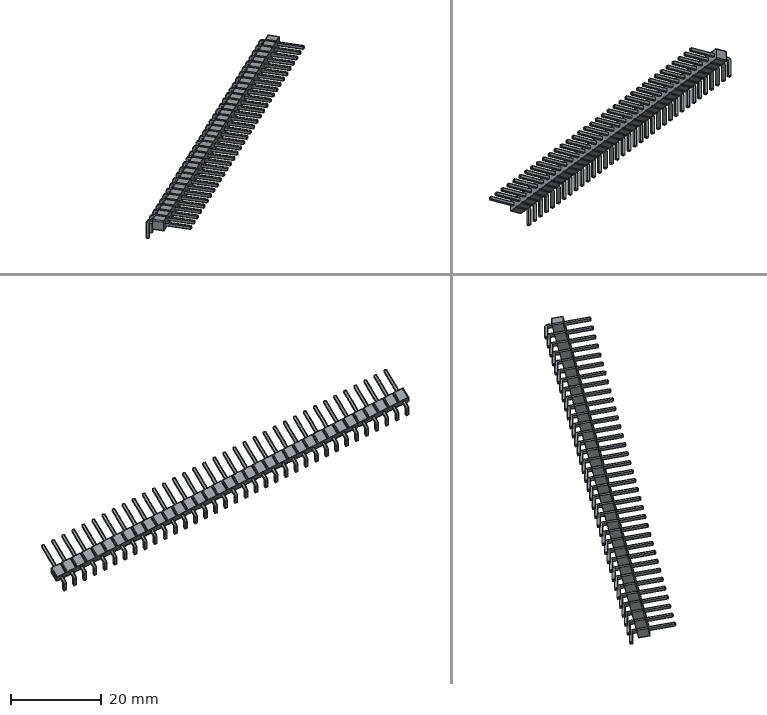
import cadquery as cq

pin_count = 35
row_length = 88.9
pitch = row_length / pin_count

overall_width = 10.4
overall_height = 5.5

housing_width = pitch
housing_height = pitch
housing_chamfer = 0.25

pin_thickness = 0.64
pin_tip_chamfer = 0.2
bend_outer_radius = 0.7
tail_reach = 1.8

tail_outer_x = -housing_width / 2 - tail_reach
contact_end_x = tail_outer_x + overall_width
tail_end_z = housing_height / 2 - overall_height


def make_housing_block():
    """The housing block at Y = 0, chamfered along its four X edges."""
    block = cq.Workplane("XY").box(housing_width, pitch, housing_height)
    return block.edges("|X").chamfer(housing_chamfer)


def make_pin():
    """The bent pin at Y = 0: a tail going down, a rounded bend and a straight contact."""
    half = pin_thickness / 2
    tail_inner_x = tail_outer_x + pin_thickness
    pin = (
        cq.Workplane("XZ")
        .moveTo(tail_outer_x, tail_end_z)
        .lineTo(tail_outer_x, half - bend_outer_radius)
        .radiusArc((tail_outer_x + bend_outer_radius, half), bend_outer_radius)
        .lineTo(contact_end_x, half)
        .lineTo(contact_end_x, -half)
        .lineTo(tail_inner_x, -half)
        .lineTo(tail_inner_x, tail_end_z)
        .close()
        .extrude(half, both=True)
    )
    return pin.faces(">X or <Z").chamfer(pin_tip_chamfer)


housing_block = make_housing_block()
pin = make_pin()
pieces = []
for index in range(pin_count):
    y = (index - (pin_count - 1) / 2) * pitch
    pieces.append(housing_block.translate((0, y, 0)).val())
    pieces.append(pin.translate((0, y, 0)).val())

result = cq.Workplane(pieces[0].fuse(*pieces[1:]).clean())